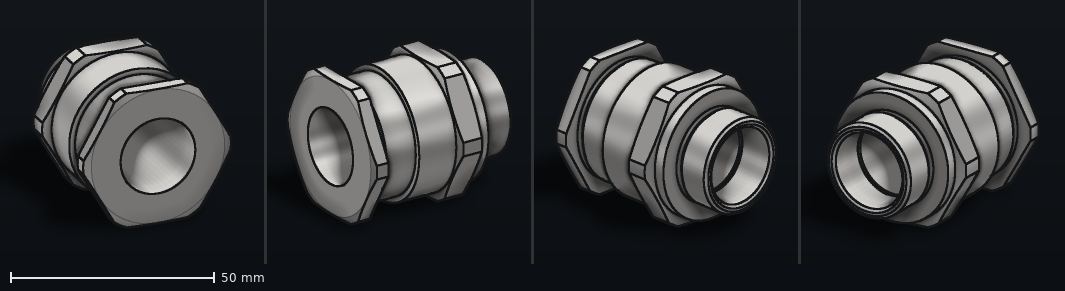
import cadquery as cq
import math


LENGTH = 45.65
ACROSS_FLATS = 36.0
HEX_CORNER_DIAMETER = 39.6
HEX_CORNER_RADIUS = HEX_CORNER_DIAMETER / 2
HEX_CHAMFER_SLOPE = math.tan(math.radians(15))

INLET_RADIUS = 12.5
INLET_CHAMFER_LENGTH = 0.75
INLET_CHAMFER_DEPTH = 0.85
FLANGE_START = 10.28
FLANGE_RADIUS = 17.05
COLLAR_RADIUS = 17.55
COLLAR_END = 31.1
OUTLET_RADIUS = 16.0

BODY_HEX_START = 13.3
BODY_HEX_END = 20.15
CAP_HEX_START = 41.7
CAP_FACE_RADIUS = 17.85

RELIEF_FLOOR_WIDTH = 0.25
RELIEF_WALL_SLOPE = math.tan(math.radians(60))
INLET_RELIEF_DEPTH = 1.0
INLET_RELIEF_WALL = 0.6
OUTLET_RELIEF_DEPTH = 1.15
OUTLET_RELIEF_WALL = 0.6

BORE_RADIUS = 10.0
BORE_CHAMFER_LENGTH = 0.65
BORE_CHAMFER_DEPTH = 0.8
BORE_GROOVE_START = 10.1
BORE_GROOVE_WIDTH = 1.0
BORE_GROOVE_DEPTH = 0.8


def revolve_profile(points):
    """Revolve a closed (x, radius) outline about the X axis."""
    return cq.Workplane("XY").polyline(points).close().revolve(360, (0, 0, 0), (1, 0, 0))


def cylinder(start, end, radius):
    return cq.Workplane("YZ").workplane(offset=start).circle(radius).extrude(end - start)


def relief_points(shoulder, radius, depth, wall_length):
    """Outline of a relief from the thread crest down, along the floor and up to the shoulder."""
    floor_radius = radius - depth
    floor_end = shoulder - wall_length
    floor_start = floor_end - RELIEF_FLOOR_WIDTH
    return [
        (floor_start - depth, radius),
        (floor_start, floor_radius),
        (floor_end, floor_radius),
        (shoulder, floor_radius + wall_length * RELIEF_WALL_SLOPE),
    ]


def turned_body():
    outline = [
        (0, 0),
        (0, INLET_RADIUS - INLET_CHAMFER_DEPTH),
        (INLET_CHAMFER_LENGTH, INLET_RADIUS),
        *relief_points(FLANGE_START, INLET_RADIUS, INLET_RELIEF_DEPTH, INLET_RELIEF_WALL),
        (FLANGE_START, FLANGE_RADIUS),
        (BODY_HEX_END, FLANGE_RADIUS),
        (BODY_HEX_END, COLLAR_RADIUS),
        (COLLAR_END, COLLAR_RADIUS),
        (COLLAR_END, OUTLET_RADIUS),
        *relief_points(CAP_HEX_START, OUTLET_RADIUS, OUTLET_RELIEF_DEPTH, OUTLET_RELIEF_WALL),
        (CAP_HEX_START, 0),
    ]
    return revolve_profile(outline)


def hexagon(start, end, start_face_radius, end_face_radius):
    """Hexagon with flats at +Z and -Z; an end is coned outside its face radius, or square at full radius."""
    start_chamfer = (HEX_CORNER_RADIUS - start_face_radius) * HEX_CHAMFER_SLOPE
    end_chamfer = (HEX_CORNER_RADIUS - end_face_radius) * HEX_CHAMFER_SLOPE
    across_corners = ACROSS_FLATS / math.cos(math.radians(30))
    prism = cq.Workplane("YZ").workplane(offset=start).polygon(6, across_corners).extrude(end - start)
    outline = [(start, 0), (start, start_face_radius)]
    if start_chamfer > 0:
        outline.append((start + start_chamfer, HEX_CORNER_RADIUS))
    outline += [(end - end_chamfer, HEX_CORNER_RADIUS), (end, end_face_radius), (end, 0)]
    envelope = revolve_profile(outline)
    return prism.intersect(envelope)


def bore():
    groove_end = BORE_GROOVE_START + BORE_GROOVE_WIDTH
    hole = cylinder(0, LENGTH, BORE_RADIUS)
    groove = cylinder(BORE_GROOVE_START, groove_end, BORE_RADIUS + BORE_GROOVE_DEPTH)
    countersink = revolve_profile([
        (0, 0),
        (0, BORE_RADIUS + BORE_CHAMFER_DEPTH),
        (BORE_CHAMFER_LENGTH, BORE_RADIUS),
        (BORE_CHAMFER_LENGTH, 0),
    ])
    return hole.union(groove).union(countersink)


body_hex = hexagon(BODY_HEX_START, BODY_HEX_END, FLANGE_RADIUS, COLLAR_RADIUS)
cap_hex = hexagon(CAP_HEX_START, LENGTH, HEX_CORNER_RADIUS, CAP_FACE_RADIUS)
result = turned_body().union(body_hex).union(cap_hex).cut(bore())